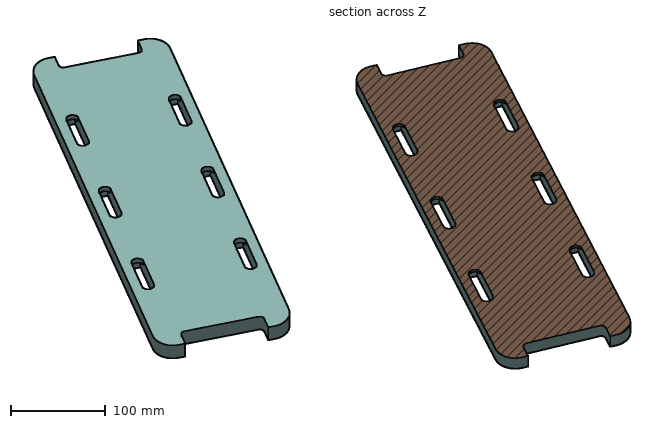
import cadquery as cq

length = 480.0
width = 150.0
thickness = 18.0
corner_radius = 22.0

notch_depth = 19.0
notch_width = 91.0
notch_radius = 5.0

slot_length = 51.0
slot_width = 13.0
slot_end_bulge = 5.0
slot_lip_height = 6.0
pocket_overhang = 5.0
pocket_length = slot_length + 2 * pocket_overhang
slots_per_row = 3
slot_pitch = length / 4
slot_row_spacing = 113.0


def make_plate():
    plate = cq.Workplane("XY").box(length, width, thickness)
    return plate.edges("|Z").fillet(corner_radius)


def make_notch_cutter(end):
    """Block straddling one short end (-1 or +1), rounded at its inner corners."""
    cutter = cq.Workplane("XY").box(2 * notch_depth, notch_width, thickness)
    cutter = cutter.edges("|Z").fillet(notch_radius)
    return cutter.translate((end * length / 2, 0, 0))


def slot_centers():
    return cq.Workplane("XY").rarray(slot_pitch, slot_row_spacing, slots_per_row, 2)


def make_opening_cutter():
    """Straight-sided bar whose two ends are shallow arcs."""
    half_width = slot_width / 2
    tip = slot_length / 2
    shoulder = tip - slot_end_bulge
    outline = (
        cq.Workplane("XY")
        .moveTo(-shoulder, -half_width)
        .lineTo(shoulder, -half_width)
        .threePointArc((tip, 0), (shoulder, half_width))
        .lineTo(-shoulder, half_width)
        .threePointArc((-tip, 0), (-shoulder, -half_width))
        .close()
    )
    return outline.extrude(thickness, both=True)


def make_slot_cutters():
    """Arc-ended openings through the plate, lengthened below a lip at each end."""
    openings = slot_centers().eachpoint(make_opening_cutter().val(), combine=False)
    lower_pockets = slot_centers().rect(pocket_length, slot_width).extrude(thickness)
    lip_underside = thickness / 2 - slot_lip_height
    return openings.union(lower_pockets.translate((0, 0, lip_underside - thickness)))


result = make_plate().cut(make_slot_cutters())
for end in (-1, 1):
    result = result.cut(make_notch_cutter(end))